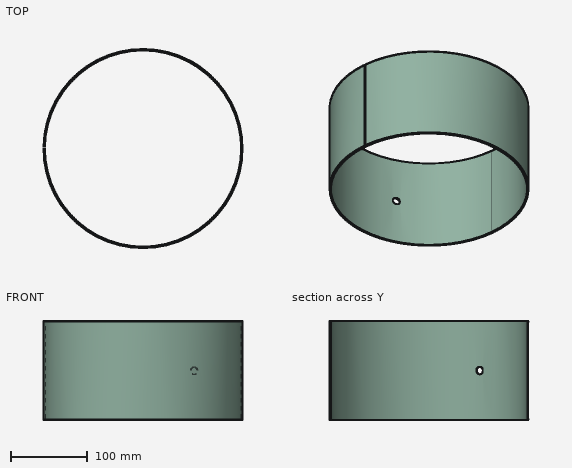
import cadquery as cq

outer_diameter = 260.0
height = 130.0
wall = 2.3
outer_bevel_height = 1.5
outer_bevel_depth = 0.5
inner_bevel = 0.8
slit_width = 2.0
hole_diameter = 10.0
hole_angle = 59.0

outer_radius = outer_diameter / 2
inner_radius = outer_radius - wall
half_height = height / 2


def make_band():
    """Thin ring centred on the origin, with both rims bevelled inside and outside."""
    rim_outer_radius = outer_radius - outer_bevel_depth
    rim_inner_radius = inner_radius + inner_bevel
    outer_wall_end = half_height - outer_bevel_height
    inner_wall_end = half_height - inner_bevel
    section = [
        (inner_radius, -inner_wall_end),
        (rim_inner_radius, -half_height),
        (rim_outer_radius, -half_height),
        (outer_radius, -outer_wall_end),
        (outer_radius, outer_wall_end),
        (rim_outer_radius, half_height),
        (rim_inner_radius, half_height),
        (inner_radius, inner_wall_end),
    ]
    return cq.Workplane("XZ").polyline(section).close().revolve(360, (0, 0), (0, 1))


def make_slit():
    """Full-height cut that splits the wall on the -X side; one face lies on the Y = 0 plane."""
    return cq.Workplane("XY").box(outer_radius, slit_width, 2 * height).translate(
        (-outer_radius, slit_width / 2, 0)
    )


def make_hole():
    """Radial round hole at mid height, through one side of the wall only."""
    return (
        cq.Workplane("YZ")
        .circle(hole_diameter / 2)
        .extrude(outer_diameter)
        .rotate((0, 0, 0), (0, 0, 1), hole_angle)
    )


result = make_band().cut(make_slit()).cut(make_hole())